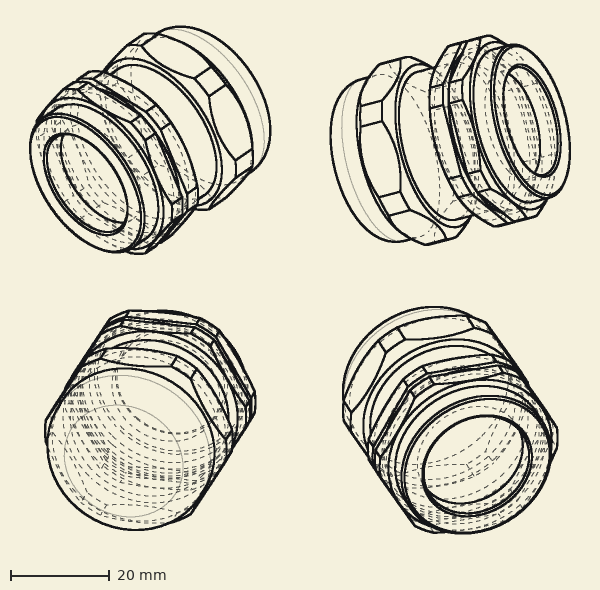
import cadquery as cq
import math


LENGTH = 39.3
HEX_ACROSS_FLATS = 35.0
HEX_CORNER_DIAMETER = 38.0

COLLAR_END = 4.55
FRONT_NUT_END = 8.55
BODY_NUT_START = 9.98
BODY_NUT_END = 14.0
CAP_NUT_START = 22.25
CAP_NUT_END = 31.27

COLLAR_DIAMETER = 32.0
COLLAR_END_DIAMETER = 31.0
NECK_DIAMETER = 31.0
CAP_DIAMETER = 34.0
SEAL_DIAMETER = 34.55
NUT_FACE_DIAMETER = 34.9

CAP_ROUNDING = 4.55
THIN_NUT_CHAMFER_ANGLE = 30.0
CAP_NUT_CHAMFER_ANGLE = 45.0

BORE_DIAMETER = 22.5
BORE_MOUTH_DIAMETER = 23.4
BORE_DEPTH = 4.55


def rod(start, end, diameter):
    """Solid cylinder on the axis between two places along Y."""
    axis = cq.Vector(0, 1, 0)
    return cq.Workplane(cq.Solid.makeCylinder(diameter / 2, end - start, cq.Vector(0, start, 0), axis))


def revolve(profile):
    """Turn a closed profile of radius (X) and axial place (Y) about the Y axis."""
    return profile.close().revolve(360, (0, 0), (0, 1))


def hex_nut(start, end, start_face_diameter, end_face_diameter, chamfer_angle):
    """Hexagon, two flats facing Z, trimmed by a cylinder with a conical chamfer at each end.

    An end whose face has the full corner diameter stays square.
    """
    corner_radius = HEX_CORNER_DIAMETER / 2
    slope = math.tan(math.radians(chamfer_angle))
    start_chamfer = (corner_radius - start_face_diameter / 2) * slope
    end_chamfer = (corner_radius - end_face_diameter / 2) * slope
    outline = [
        (0, start),
        (start_face_diameter / 2, start),
        (corner_radius, start + start_chamfer),
        (corner_radius, end - end_chamfer),
        (end_face_diameter / 2, end),
        (0, end),
    ]
    corners = [point for i, point in enumerate(outline) if i == 0 or point != outline[i - 1]]
    trimmer = revolve(cq.Workplane("XY").polyline(corners))
    hexagon = (
        cq.Workplane("XZ", origin=(0, start, 0))
        .polygon(6, HEX_ACROSS_FLATS / math.cos(math.pi / 6))
        .extrude(start - end)
    )
    return hexagon.intersect(trimmer)


def collar():
    """Round spigot at the open end with a small 45 degree chamfer."""
    chamfer = (COLLAR_DIAMETER - COLLAR_END_DIAMETER) / 2
    return rod(0, COLLAR_END, COLLAR_DIAMETER).faces("<Y").chamfer(chamfer)


def seal():
    """Sealing ring with a half-round rim, filling the gap between the thin nuts."""
    rim_radius = (BODY_NUT_START - FRONT_NUT_END) / 2
    straight_radius = SEAL_DIAMETER / 2 - rim_radius
    return revolve(
        cq.Workplane("XY")
        .moveTo(0, FRONT_NUT_END)
        .lineTo(straight_radius, FRONT_NUT_END)
        .threePointArc(
            (SEAL_DIAMETER / 2, FRONT_NUT_END + rim_radius),
            (straight_radius, BODY_NUT_START),
        )
        .lineTo(0, BODY_NUT_START)
    )


def cap():
    """Closed cap with a large rounded edge."""
    return rod(CAP_NUT_END, LENGTH, CAP_DIAMETER).faces(">Y").edges().fillet(CAP_ROUNDING)


def bore():
    """Blind bore with a 45 degree countersunk mouth."""
    radius = BORE_DIAMETER / 2
    mouth_radius = BORE_MOUTH_DIAMETER / 2
    return revolve(
        cq.Workplane("XY").polyline(
            [
                (0, 0),
                (mouth_radius, 0),
                (radius, mouth_radius - radius),
                (radius, BORE_DEPTH),
                (0, BORE_DEPTH),
            ]
        )
    )


front_nut = hex_nut(
    COLLAR_END, FRONT_NUT_END, NUT_FACE_DIAMETER, HEX_CORNER_DIAMETER, THIN_NUT_CHAMFER_ANGLE
)
body_nut = hex_nut(
    BODY_NUT_START, BODY_NUT_END, HEX_CORNER_DIAMETER, NUT_FACE_DIAMETER, THIN_NUT_CHAMFER_ANGLE
)
neck = rod(BODY_NUT_END, CAP_NUT_START, NECK_DIAMETER)
cap_nut = hex_nut(CAP_NUT_START, CAP_NUT_END, CAP_DIAMETER, CAP_DIAMETER, CAP_NUT_CHAMFER_ANGLE)

result = collar()
for section in (front_nut, seal(), body_nut, neck, cap_nut, cap()):
    result = result.union(section)
result = result.cut(bore())